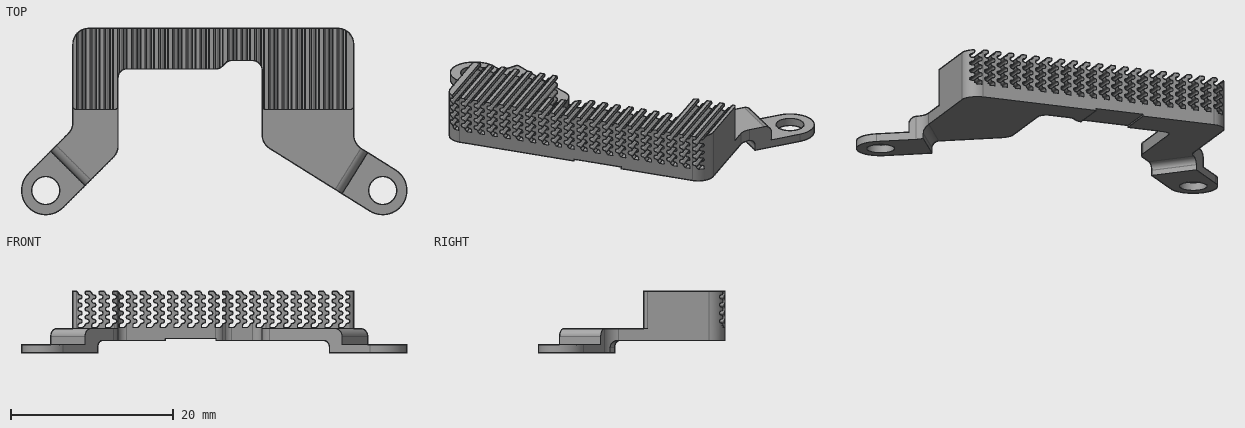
import cadquery as cq
import math

length = 47.3
depth = 22.9
height = 7.55
ear_top = 1.0
plate_bottom = 1.5
plate_top = 3.0
over = 0.45

block_left = 6.3
block_right = 40.75
inner_left = 11.85
inner_right = 29.5
fin_front = -9.98
bar_front = -5.0
notch_front = -3.95
ramp_left = 24.3
corner_radius = 2.0
bar_corner_radius = 1.0
notch_corner_radius = 1.2
fin_end_radius = 0.45

relief_left = 17.65
relief_right = 23.85
relief_depth = 0.25

ear_radius = 3.0
hole_diameter = 3.4
ear_y = ear_radius - depth
left_angle = 45.0
right_angle = 148.0
left_riser = 3.85
right_riser = 4.0
left_foot_end = 6.05
right_foot_end = 5.85
shoulder_radius = 1.0
foot_radius = 0.85

slot_count = 20
slot_span = 31.95
slot_pitch = slot_span / (slot_count - 1)
end_wall = 0.65
slot_left = block_left + end_wall
slot_width = 0.85
slot_depth = 4.45
tooth_pitch = 1.0
tooth_radius = tooth_pitch / 4
tooth_count = 4
first_peak = 0.7


class Arm:
    """Bent ear: local distance runs from the hole centre towards the bridge."""

    def __init__(self, hole_x, angle, riser, foot_end):
        self.x = hole_x
        self.y = ear_y
        self.angle = angle
        self.riser = riser
        self.foot_end = foot_end
        self.cos = math.cos(math.radians(angle))
        self.sin = math.sin(math.radians(angle))

    def point(self, along, across):
        return (
            self.x + along * self.cos - across * self.sin,
            self.y + along * self.sin + across * self.cos,
        )

    def side_at_x(self, across, x):
        """Point where the arm side at the given offset crosses a line of constant X."""
        start = self.point(0, across)
        return (x, start[1] + (x - start[0]) * self.sin / self.cos)

    def place(self, profile):
        """Sweep a side profile across the arm and move it to the arm's place."""
        sweep = profile.close().extrude(2 * ear_radius, both=True)
        return sweep.rotate((0, 0, 0), (0, 0, 1), self.angle).translate((self.x, self.y, 0))

    def foot(self):
        """Material below the plate, with a concave bend under it."""
        return self.place(
            cq.Workplane("XZ")
            .moveTo(-ear_radius - over, 0)
            .lineTo(self.foot_end, 0)
            .lineTo(self.foot_end, plate_bottom - foot_radius)
            .radiusArc((self.foot_end + foot_radius, plate_bottom), foot_radius)
            .lineTo(-ear_radius - over, plate_bottom)
        )

    def clearance(self):
        """Space above the ear, with a rounded shoulder at the plate."""
        return self.place(
            cq.Workplane("XZ")
            .moveTo(-ear_radius - over, ear_top)
            .lineTo(self.riser, ear_top)
            .lineTo(self.riser, plate_top - shoulder_radius)
            .radiusArc((self.riser + shoulder_radius, plate_top), shoulder_radius)
            .lineTo(-ear_radius - over, plate_top)
        )

    def hole(self):
        return cq.Workplane("XY").center(self.x, self.y).circle(hole_diameter / 2).extrude(height)


left_arm = Arm(ear_radius, left_angle, left_riser, left_foot_end)
right_arm = Arm(length - ear_radius, right_angle, right_riser, right_foot_end)


def fillet_at(solid, point, radius):
    """Round the vertical edge that stands at a plan point."""
    x, y = point
    reach = 0.025
    low = (x - reach, y - reach, -over)
    high = (x + reach, y + reach, height + over)
    return solid.edges("|Z").edges(cq.selectors.BoxSelector(low, high, True)).fillet(radius)


def footprint(bottom, top):
    """Prism of the whole plan, with all corners rounded."""
    ramp_right = ramp_left + notch_front - bar_front
    left_outer = left_arm.side_at_x(ear_radius, block_left)
    left_inner = left_arm.side_at_x(-ear_radius, inner_left)
    right_outer = right_arm.side_at_x(-ear_radius, block_right)
    right_inner = right_arm.side_at_x(ear_radius, inner_right)
    outline = (
        cq.Workplane("XY", origin=(0, 0, bottom))
        .moveTo(block_left, 0)
        .lineTo(block_right, 0)
        .lineTo(*right_outer)
        .lineTo(*right_arm.point(0, -ear_radius))
        .threePointArc(right_arm.point(-ear_radius, 0), right_arm.point(0, ear_radius))
        .lineTo(*right_inner)
        .lineTo(inner_right, notch_front)
        .lineTo(ramp_right, notch_front)
        .lineTo(ramp_left, bar_front)
        .lineTo(inner_left, bar_front)
        .lineTo(*left_inner)
        .lineTo(*left_arm.point(0, -ear_radius))
        .threePointArc(left_arm.point(-ear_radius, 0), left_arm.point(0, ear_radius))
        .lineTo(*left_outer)
        .close()
    )
    solid = outline.extrude(top - bottom)
    for point in [(block_left, 0), (block_right, 0), left_outer, left_inner, right_outer, right_inner]:
        solid = fillet_at(solid, point, corner_radius)
    for point in [(inner_left, bar_front), (ramp_right, notch_front)]:
        solid = fillet_at(solid, point, bar_corner_radius)
    solid = fillet_at(solid, (ramp_left, bar_front), notch_corner_radius)
    return fillet_at(solid, (inner_right, notch_front), notch_corner_radius)


def fin_block():
    """Solid block over the bridge, with its free front corners rounded."""
    window = cq.Workplane("XY").box(length, -fin_front, height, centered=False).translate((0, fin_front, 0))
    block = footprint(plate_top, height).intersect(window)
    for x in [block_left, inner_left, inner_right, block_right]:
        block = fillet_at(block, (x, fin_front), fin_end_radius)
    return block


def slot(left):
    """One wavy slot; both walls are chains of half circles, bulging right at each tooth tip.

    The left wall flares at 45 degrees at the mouth, the right wall at the floor.
    """
    top = height + over
    floor = height - slot_depth
    right = left + slot_width
    peaks = [height - first_peak - i * tooth_pitch for i in range(tooth_count)]
    crest = 2 * tooth_radius
    diagonal = tooth_radius * math.sqrt(0.5)
    first_valley = peaks[0] + crest
    last_valley = peaks[-1] - crest
    mouth_rise = top - first_valley
    floor_rise = last_valley - floor

    outline = (
        cq.Workplane("XZ")
        .moveTo(left - mouth_rise, top)
        .lineTo(left, first_valley)
        .threePointArc(
            (left + tooth_radius - diagonal, first_valley - diagonal),
            (left + tooth_radius, first_valley - tooth_radius),
        )
    )
    for z in peaks:
        outline = outline.threePointArc((left + crest, z), (left + tooth_radius, z - tooth_radius))
        if z != peaks[-1]:
            outline = outline.threePointArc(
                (left, z - crest), (left + tooth_radius, z - crest - tooth_radius)
            )
    outline = (
        outline.threePointArc(
            (left + tooth_radius - diagonal, last_valley + diagonal), (left, last_valley)
        )
        .lineTo(left, floor)
        .lineTo(right - floor_rise, floor)
        .lineTo(right, last_valley)
        .threePointArc(
            (right + tooth_radius - diagonal, last_valley + diagonal),
            (right + tooth_radius, last_valley + tooth_radius),
        )
    )
    for z in reversed(peaks):
        outline = outline.threePointArc((right + crest, z), (right + tooth_radius, z + tooth_radius))
        outline = outline.threePointArc(
            (right, z + crest), (right + tooth_radius, z + crest + tooth_radius)
        )
    return outline.lineTo(right + tooth_radius, top).close().extrude(depth)


result = footprint(plate_bottom, plate_top)
for arm in (left_arm, right_arm):
    foot = arm.foot().intersect(footprint(0, plate_bottom))
    result = result.union(foot).cut(arm.clearance()).cut(arm.hole())
result = result.union(fin_block())

relief_width = relief_right - relief_left
relief = cq.Workplane("XY").box(relief_width, depth, relief_depth, centered=False)
result = result.cut(relief.translate((relief_left, -depth, plate_bottom)))

for i in range(slot_count):
    result = result.cut(slot(slot_left + i * slot_pitch))